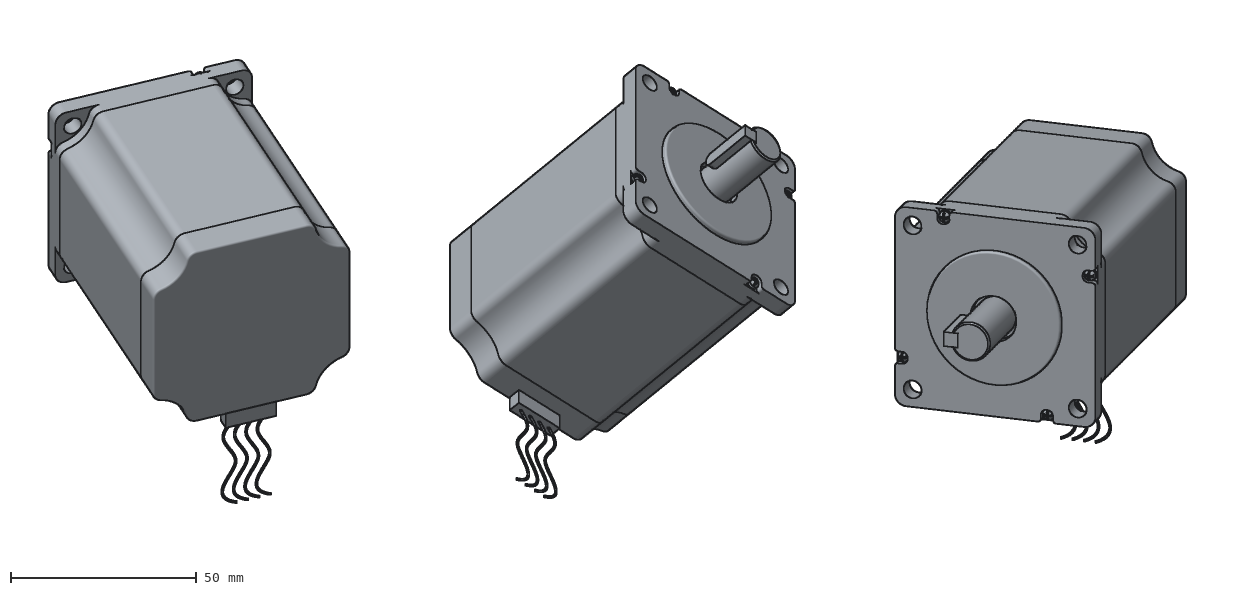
import cadquery as cq
import math


flange_thickness = 5.0
front_bell_length = 8.2
stator_length = 59.0
motor_length = 76.2
stator_end = front_bell_length + stator_length
rear_cap_length = motor_length - stator_end

motor_width = 57.0
half_width = motor_width / 2
flange_corner_radius = 3.2
scoop_radius = 10.0
scoop_edge_radius = 3.0
rear_edge_radius = 0.6

mount_hole_spacing = 46.9
mount_hole_diameter = 5.0
pilot_diameter = 38.1
pilot_height = 1.5
pilot_edge_radius = 0.6
shaft_recess_diameter = 13.1
shaft_recess_depth = 2.5

screw_count = 4
screw_side_offset = 14.7
screw_axis_distance = 26.6
screw_pocket_radius = 1.7
screw_pocket_depth = 2.0
pocket_mouth_radius = 0.9
screw_head_radius = 1.65
screw_rim_height = 0.9
screw_head_height = 1.9
cross_length = 2.3
cross_width = 0.5
cross_depth = 0.9

shaft_diameter = 11.1
shaft_projection = 20.8
shaft_chamfer = 0.5
key_width = 4.1
key_height = 4.1
key_length = 16.0
key_top = 7.6

connector_length = 3.8
connector_width = 14.6
connector_height = 4.9
wire_count = 4
wire_diameter = 0.6
wire_pitch = 3.3
first_wire_y = 5.5
wire_path = [(0, 0), (-2.9, -5.0), (-1.2, -9.4), (0.7, -14.0), (-1.4, -18.6), (-3.2, -23.3), (0.9, -27.8)]
wire_directions = [(-1, -1), (0, -1), (0.6, -1), (0, -1), (-0.6, -1), (0, -1), (1, -0.4)]


def face_plane(x):
    """Plane across the shaft at X = x: sketch axes along Y and Z, extruding toward +X."""
    return cq.Workplane("YZ", origin=(x, 0, 0))


def scooped_prism(x, length):
    """Square prism whose four corners are scooped out by rounded concave arcs."""
    edge_center = math.sqrt((scoop_radius + scoop_edge_radius) ** 2 - scoop_edge_radius**2)
    flat_half = half_width - edge_center
    blend = scoop_radius / (scoop_radius + scoop_edge_radius)
    touch_near = half_width - edge_center * blend
    touch_far = half_width - scoop_edge_radius * blend
    scoop_depth_point = half_width - scoop_radius * math.sqrt(0.5)
    half_angle = math.asin(edge_center / (scoop_radius + scoop_edge_radius)) / 2
    bulge_along = flat_half + scoop_edge_radius * math.sin(half_angle)
    bulge_out = half_width - scoop_edge_radius * (1 - math.cos(half_angle))

    first_bulge = (bulge_out, bulge_along)
    scoop_start = (touch_far, touch_near)
    scoop_middle = (scoop_depth_point, scoop_depth_point)
    scoop_end = (touch_near, touch_far)
    second_bulge = (bulge_along, bulge_out)
    next_flat = (flat_half, half_width)

    def turned(point, quarter):
        """The point after the given number of quarter turns about the shaft axis."""
        u, v = point
        for _ in range(quarter):
            u, v = -v, u
        return (u, v)

    profile = face_plane(x).moveTo(half_width, -flat_half)
    for quarter in range(4):
        profile = (
            profile.lineTo(*turned((half_width, flat_half), quarter))
            .threePointArc(turned(first_bulge, quarter), turned(scoop_start, quarter))
            .threePointArc(turned(scoop_middle, quarter), turned(scoop_end, quarter))
            .threePointArc(turned(second_bulge, quarter), turned(next_flat, quarter))
        )
    return profile.close().extrude(length)


def screw_pocket():
    """Pocket cutter open to the +Z side, with rounded mouth edges."""
    mouth_half = screw_pocket_radius + pocket_mouth_radius
    arc_mid = pocket_mouth_radius * (1 - math.sqrt(0.5))
    arc_z = half_width - arc_mid
    arc_y = screw_pocket_radius + arc_mid
    arc_start = half_width - pocket_mouth_radius
    return (
        cq.Workplane("YZ", origin=(0, screw_side_offset, 0))
        .moveTo(-screw_pocket_radius, screw_axis_distance)
        .threePointArc(
            (0, screw_axis_distance - screw_pocket_radius),
            (screw_pocket_radius, screw_axis_distance),
        )
        .lineTo(screw_pocket_radius, arc_start)
        .threePointArc((arc_y, arc_z), (mouth_half, half_width))
        .lineTo(-mouth_half, half_width)
        .threePointArc((-arc_y, arc_z), (-screw_pocket_radius, arc_start))
        .close()
        .extrude(screw_pocket_depth)
    )


def screw_head():
    """Domed head with a cross recess, standing on the floor of its pocket."""
    rim_x = screw_pocket_depth - screw_rim_height
    top_x = screw_pocket_depth - screw_head_height
    dome_height = screw_head_height - screw_rim_height
    dome_radius = (screw_head_radius**2 + dome_height**2) / (2 * dome_height)
    dome_half_angle = math.asin(screw_head_radius / dome_radius) / 2
    dome_middle = (
        top_x + dome_radius * (1 - math.cos(dome_half_angle)),
        dome_radius * math.sin(dome_half_angle),
    )
    head = (
        cq.Workplane("XY")
        .moveTo(screw_pocket_depth, 0)
        .lineTo(screw_pocket_depth, screw_head_radius)
        .lineTo(rim_x, screw_head_radius)
        .threePointArc(dome_middle, (top_x, 0))
        .close()
        .revolve(360, (0, 0, 0), (1, 0, 0))
    )
    cross = face_plane(top_x).rect(cross_length, cross_width).extrude(cross_depth)
    cross = cross.union(face_plane(top_x).rect(cross_width, cross_length).extrude(cross_depth))
    return head.cut(cross).translate((0, screw_side_offset, screw_axis_distance))


def make_front_bell():
    """Square flange with pilot boss, mounting holes and flange screws, bored for the shaft."""
    flange = face_plane(0).rect(motor_width, motor_width).extrude(flange_thickness)
    flange = flange.edges("|X").fillet(flange_corner_radius)
    pilot = face_plane(0).circle(pilot_diameter / 2).extrude(-pilot_height)
    pilot = pilot.faces("<X").edges().fillet(pilot_edge_radius)
    skirt = scooped_prism(flange_thickness, front_bell_length - flange_thickness)
    bell = flange.union(pilot).union(skirt)

    holes = (
        face_plane(0)
        .rect(mount_hole_spacing, mount_hole_spacing, forConstruction=True)
        .vertices()
        .circle(mount_hole_diameter / 2)
        .extrude(flange_thickness)
    )
    recess = face_plane(-pilot_height).circle(shaft_recess_diameter / 2).extrude(shaft_recess_depth)
    bore = face_plane(-pilot_height).circle(shaft_diameter / 2).extrude(pilot_height + front_bell_length)
    bell = bell.cut(holes).cut(recess).cut(bore)

    pocket = screw_pocket()
    head = screw_head()
    for i in range(screw_count):
        angle = i * 360 / screw_count
        bell = bell.cut(pocket.rotate((0, 0, 0), (1, 0, 0), angle))
        bell = bell.union(head.rotate((0, 0, 0), (1, 0, 0), angle))
    return bell


def make_stator():
    """Plain laminated stack between the two end pieces."""
    return scooped_prism(front_bell_length, stator_length)


def make_wire(x, y, z):
    """Round wire that starts at the given point and hangs down in three bends."""
    points = [(y + dy, z + dz) for dy, dz in wire_path]
    path = cq.Workplane("YZ", origin=(x, 0, 0)).spline(points, tangents=wire_directions)
    start_dir = cq.Vector(0, *wire_directions[0])
    start = cq.Plane(origin=(x, y, z), xDir=(1, 0, 0), normal=start_dir)
    return cq.Workplane(start).circle(wire_diameter / 2).sweep(path)


def make_rear_cap():
    """Rear cap with its cable outlet block and the wires hanging from it."""
    cap = scooped_prism(stator_end, rear_cap_length)
    cap = cap.faces(">X").edges().fillet(rear_edge_radius)

    connector_x = motor_length - rear_edge_radius - connector_length / 2
    connector_bottom = -half_width - connector_height
    block_height = half_width + connector_height
    block = cq.Workplane("XY").box(connector_length, connector_width, block_height)
    cap = cap.union(block.translate((connector_x, 0, -block_height / 2)))

    wire_z = connector_bottom + wire_diameter
    for i in range(wire_count):
        cap = cap.union(make_wire(connector_x, first_wire_y - i * wire_pitch, wire_z))
    return cap


def make_key():
    """Key with a rounded inner end, flush with the shaft tip."""
    key_end = key_length - shaft_projection
    round_start = key_end - key_width / 2
    return (
        cq.Workplane("XZ", origin=(0, key_top, 0))
        .moveTo(-shaft_projection, -key_width / 2)
        .lineTo(round_start, -key_width / 2)
        .threePointArc((key_end, 0), (round_start, key_width / 2))
        .lineTo(-shaft_projection, key_width / 2)
        .close()
        .extrude(key_height)
    )


def make_shaft(key):
    """Round shaft through the front bell, with a chamfered tip and a keyway that fits the key."""
    shaft_length = shaft_projection + front_bell_length
    shaft = face_plane(-shaft_projection).circle(shaft_diameter / 2).extrude(shaft_length)
    return shaft.faces("<X").edges().chamfer(shaft_chamfer).cut(key)


front_bell = make_front_bell()
stator = make_stator()
rear_cap = make_rear_cap()
key = make_key()
shaft = make_shaft(key)

bodies = [front_bell, stator, rear_cap, shaft, key]
result = cq.Compound.makeCompound([body.solids().val() for body in bodies])